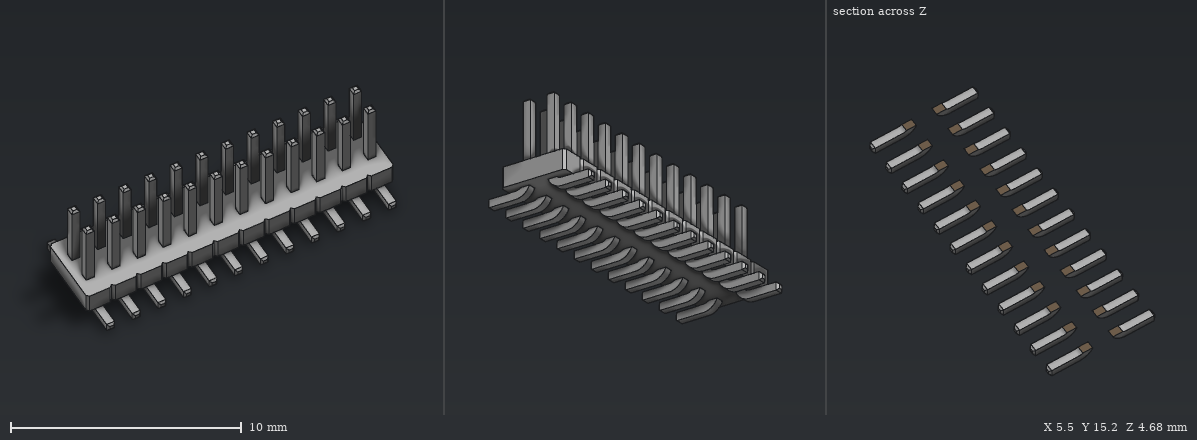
import cadquery as cq

PITCH = 1.27
ROW_COUNT = 12
PIN_X = PITCH / 2

BODY_WIDTH = 3.4
BODY_HEIGHT = 1.0
BODY_BOTTOM_Z = 0.5
NOTCH_DEPTH = PITCH / 10

PIN_SIZE = 0.4
PIN_TOP_Z = 4.68
FOOT_SPAN = 5.5
BEND_INNER_RADIUS = 0.4
BEND_OUTER_RADIUS = BEND_INNER_RADIUS + PIN_SIZE
TIP_CHAMFER = 0.1


def row_y(row):
    """Y position of a row of pins, centred on the body."""
    return (row - (ROW_COUNT - 1) / 2) * PITCH


def body_segment(y):
    """One pitch of the body, with 45 degree corners that form the V notches between segments."""
    half_width = BODY_WIDTH / 2
    neck_half_width = half_width - NOTCH_DEPTH
    half_pitch = PITCH / 2
    side_half_length = half_pitch - NOTCH_DEPTH
    outline = [
        (half_width, -side_half_length),
        (half_width, side_half_length),
        (neck_half_width, half_pitch),
        (-neck_half_width, half_pitch),
        (-half_width, side_half_length),
        (-half_width, -side_half_length),
        (-neck_half_width, -half_pitch),
        (neck_half_width, -half_pitch),
    ]
    segment = cq.Workplane("XY").polyline(outline).close().extrude(BODY_HEIGHT)
    return segment.translate((0, y, BODY_BOTTOM_Z))


def bent_pin():
    """Right-hand pin: a vertical post bent outward into a flat foot, with both tips chamfered."""
    inner_x = PIN_X - PIN_SIZE / 2
    outer_x = PIN_X + PIN_SIZE / 2
    bend_x = inner_x + BEND_OUTER_RADIUS
    bend_z = BEND_OUTER_RADIUS
    foot_x = FOOT_SPAN / 2
    pin = (
        cq.Workplane("XZ")
        .moveTo(inner_x, PIN_TOP_Z)
        .lineTo(inner_x, bend_z)
        .radiusArc((bend_x, 0), -BEND_OUTER_RADIUS)
        .lineTo(foot_x, 0)
        .lineTo(foot_x, PIN_SIZE)
        .lineTo(bend_x, PIN_SIZE)
        .radiusArc((outer_x, bend_z), BEND_INNER_RADIUS)
        .lineTo(outer_x, PIN_TOP_Z)
        .close()
        .extrude(PIN_SIZE / 2, both=True)
    )
    pin = pin.faces(">Z").chamfer(TIP_CHAMFER)
    return pin.faces(">X").chamfer(TIP_CHAMFER)


def header():
    """Body segments joined end to end, with a mirrored pair of pins in every row."""
    body = body_segment(row_y(0))
    for row in range(1, ROW_COUNT):
        body = body.union(body_segment(row_y(row)))
    body = body.clean()

    right_pin = bent_pin()
    left_pin = right_pin.mirror("YZ")
    for row in range(ROW_COUNT):
        for pin in (right_pin, left_pin):
            body = body.union(pin.translate((0, row_y(row), 0)))
    return body


result = header()